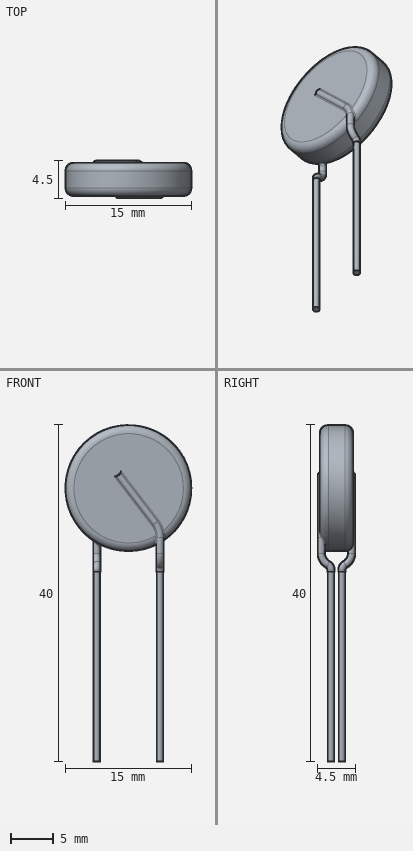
import cadquery as cq
import math

disc_diameter = 15.0
disc_thickness = 4.0
disc_edge_radius = 1.0

upper_wire_diameter = 0.9
lower_wire_diameter = 0.8
overall_depth = 4.5
overall_height = 40.01
lead_x = 3.75
upper_wire_y = -(overall_depth - upper_wire_diameter) / 2
lower_wire_y = -0.65

face_bend_end_z = -5.82
kink_top_z = -7.75
kink_bottom_z = -9.72
collar_end_z = -9.93
lead_tip_z = disc_diameter / 2 - overall_height

upper_arc_share = 0.67

collar_rim_radius = 0.04
coating_fillet_radius = 0.2

face_wire_angle = math.radians(37.5)
face_bend_radius = 2.8
face_wire_tip_z = 1.55

joint_tolerance = 1e-3


def make_disc():
    """Disc with both face edges rounded."""
    disc = cq.Workplane("XZ", origin=(0, disc_thickness / 2, 0))
    disc = disc.circle(disc_diameter / 2).extrude(disc_thickness)
    return disc.faces("<Y or >Y").edges().fillet(disc_edge_radius)


def make_upper_wire():
    """Wire from its tip on the disc face, round the face bend and through the S-shaped kink."""
    bend_start_x = lead_x - face_bend_radius * (1 - math.cos(face_wire_angle))
    bend_start_z = face_bend_end_z + face_bend_radius * math.sin(face_wire_angle)
    tip_x = bend_start_x - (face_wire_tip_z - bend_start_z) * math.tan(face_wire_angle)

    tip = cq.Vector(tip_x, upper_wire_y, face_wire_tip_z)
    bend_start = cq.Vector(bend_start_x, upper_wire_y, bend_start_z)
    bend_end = cq.Vector(lead_x, upper_wire_y, face_bend_end_z)
    kink_top = cq.Vector(lead_x, upper_wire_y, kink_top_z)
    kink_bottom = cq.Vector(lead_x, lower_wire_y, kink_bottom_z)
    kink_middle = kink_top + (kink_bottom - kink_top) * upper_arc_share
    collar_end = cq.Vector(lead_x, lower_wire_y, collar_end_z)

    along_face = bend_start - tip
    downward = cq.Vector(0, 0, -1)
    first_arc = cq.Edge.makeTangentArc(kink_top, downward, kink_middle)
    path = cq.Wire.assembleEdges([
        cq.Edge.makeLine(tip, bend_start),
        cq.Edge.makeTangentArc(bend_start, along_face, bend_end),
        cq.Edge.makeLine(bend_end, kink_top),
        first_arc,
        cq.Edge.makeTangentArc(kink_middle, first_arc.tangentAt(1), kink_bottom),
        cq.Edge.makeLine(kink_bottom, collar_end),
    ])
    tip_plane = cq.Plane(origin=tip.toTuple(), xDir=(0, 1, 0), normal=along_face.toTuple())
    wire = cq.Workplane(tip_plane).circle(upper_wire_diameter / 2).sweep(path)
    return wire.faces("<Z").edges().fillet(collar_rim_radius)


def make_lower_wire():
    """Straight thin wire from the end of the kink down to the lead tip."""
    wire = cq.Workplane("XY", origin=(lead_x, lower_wire_y, lead_tip_z))
    return wire.circle(lower_wire_diameter / 2).extrude(collar_end_z - lead_tip_z)


def joint_edges(body, disc, wire):
    """Edges of the joined body that lie on the skin of both the disc and the wire."""
    skins = [cq.Shell.makeShell(part.faces().vals()) for part in (disc, wire)]
    edges = []
    for edge in body.edges().vals():
        middle = cq.Vertex.makeVertex(*edge.positionAt(0.5).toTuple())
        if all(skin.distance(middle) < joint_tolerance for skin in skins):
            edges.append(edge)
    return edges


def turned_half_round(body):
    return body.rotate((0, 0, 0), (0, 0, 1), 180)


disc = make_disc()
front_wire = make_upper_wire()
rear_wire = turned_half_round(front_wire)

body = disc.union(front_wire).union(rear_wire)
joints = joint_edges(body, disc, front_wire) + joint_edges(body, disc, rear_wire)
body = body.newObject(joints).fillet(coating_fillet_radius)

front_lower_wire = make_lower_wire()
result = body.union(front_lower_wire).union(turned_half_round(front_lower_wire))